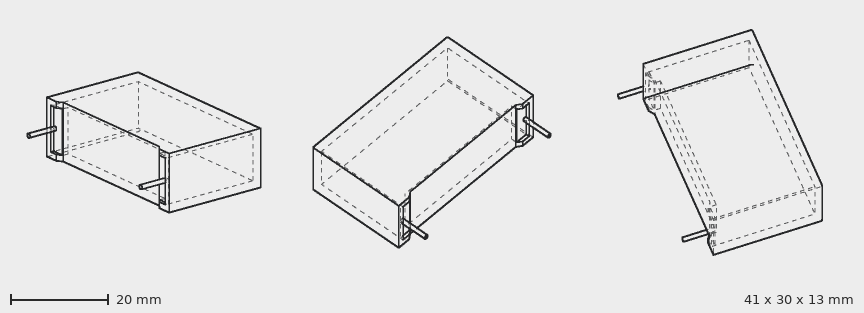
import cadquery as cq

case_length = 41.0
case_depth = 24.0
case_height = 13.0
lead_length = 6.03
back_edge_radius = 0.4

foot_length = 3.25
relief_end = 4.43
relief_depth = 0.85

end_wall = 1.3
side_wall = 1.4
window_end = 4.25
window_depth = 0.78

lead_diameter = 1.0
lead_spacing = 37.5

half_length = case_length / 2
core_length = case_length - 2 * end_wall
core_height = case_height - 2 * side_wall
core_front = relief_depth + end_wall
core_depth = case_depth - core_front - end_wall
window_width = window_end - end_wall
window_offset = half_length - (end_wall + window_end) / 2



def front_block(length, height, depth, start_y, center_x=0.0):
    """Box running toward +Y from start_y, centred on center_x and z = 0."""
    return (
        cq.Workplane("XY")
        .box(length, depth, height, centered=(True, False, True))
        .translate((center_x, start_y, 0))
    )


def make_core():
    """Potting block inside the case, with a pad rising into each window."""
    core = front_block(core_length, core_height, core_depth, core_front)
    pad_depth = core_front - window_depth
    for side in (-1, 1):
        pad = front_block(window_width, core_height, pad_depth, window_depth, side * window_offset)
        core = core.union(pad)
    return core


def make_lead(center_x):
    """Round wire standing on the exposed face of a core pad."""
    return (
        cq.Workplane("XZ", origin=(center_x, window_depth, 0))
        .circle(lead_diameter / 2)
        .extrude(lead_length + window_depth)
    )


def make_case(core, leads):
    """Case with rounded back edges, relieved front, core cavity and windows."""
    foot_inner_x = half_length - foot_length
    relief_inner_x = half_length - relief_end
    case = (
        cq.Workplane("XY")
        .workplane(offset=-case_height / 2)
        .moveTo(-half_length, 0)
        .lineTo(-foot_inner_x, 0)
        .lineTo(-relief_inner_x, relief_depth)
        .lineTo(relief_inner_x, relief_depth)
        .lineTo(foot_inner_x, 0)
        .lineTo(half_length, 0)
        .lineTo(half_length, case_depth)
        .lineTo(-half_length, case_depth)
        .close()
        .extrude(case_height)
        .faces(">Y")
        .edges()
        .fillet(back_edge_radius)
    )
    for side in (-1, 1):
        case = case.cut(front_block(window_width, core_height, window_depth, 0, side * window_offset))
    for lead in leads:
        case = case.cut(lead)
    return case.cut(core)


core = make_core()
leads = [make_lead(side * lead_spacing / 2) for side in (-1, 1)]
case = make_case(core, leads)

result = cq.Compound.makeCompound([case.val(), core.val(), *[lead.val() for lead in leads]])